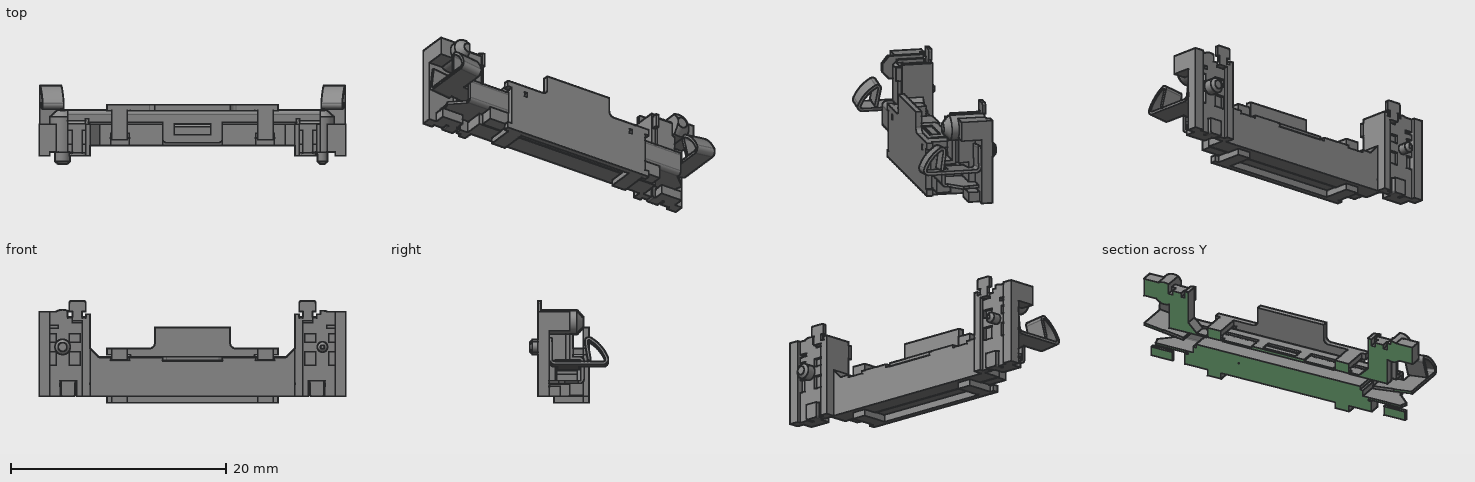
import cadquery as cq

OVERLAP = 0.05

block_inner_x = 9.5
sill_front_y = 0.94
sill_ridge_y = 2.94
sill_back_y = 4.19
sill_top = 3.57
sill_end_x = 9.9
sill_end_top = 1.12
sill_back_lift = 0.08
corner_wedge = 0.89

chamber_front_y = 1.63
chamber_bottom = 1.46
bar_half_length = 9.0
bar_front_y = 1.7
bar_back_y = 3.69
bar_shoulder_z = 2.05
bar_top = 2.4
bar_step = 0.3

shell_half_length = 11.86
shell_back_y = 4.28
shell_top = 3.69
shell_bottom = 1.2
shell_thickness = 0.34
sheet_underside = shell_top - shell_thickness
shell_bend = 0.4
shell_front_y = 1.0
shell_edge_y = 3.1
seam_depth = 0.1
lug_front_x = 13.0
lug_point_x = 13.2
lug_side_y = 1.92
lug_point_y = 2.5
lug_back_y = 3.73
tongue_half_width = 2.78
tongue_front_y = 1.23
tongue_corner = 0.35
tongue_gap = 0.09
slot_half_width = 1.71
slot_front_y = 1.98
slot_back_y = 3.0
louvre_crest_y = 2.68
louvre_drop = 0.1
louvre_fall = 0.2

plate_half_length = 7.94
plate_back_y = 4.75
plate_top = 4.45
plate_bottom = -0.6
plate_tab_top = 6.4
plate_tab_half_width = 3.5
plate_tab_fillet = 0.5
arm_thickness = 0.6
arm_inner_x = 6.04
arm_outer_x = 7.5
arm_front_y = 1.48
lip_bottom = 3.4
arm_relief = 0.27
relief_bottom = 3.4
arm_pocket_inner_x = 5.85
arm_pocket_outer_x = 7.6
arm_pocket_back_y = 2.09
arm_pocket_floor = 3.33

end_x = 14.225
wall_back_y = 1.03
wall_top = 7.87
core_top = 7.63
core_outer_x = 11.51
core_step_y = 2.59
core_step = 0.15
block_back_y = 2.94
overhang_z = 6.08
groove_inner_x = 10.24
groove_outer_x = 13.23
groove_depth = 0.35
window_depth = 0.3
outer_window_x = 12.63
inner_window_x = 10.4
inner_window_width = 1.02
window_middle_z = 4.58
window_bar = 0.92
upper_window_top = 5.8
lower_window_bottom = 2.9
vent_inner_x = 12.46
vent_bottom = 6.3
vent_height = 0.3
seat_inner_x = 9.9
seat_floor = 7.37

post_x = 12.06
post_z = 6.87
post_straight_y = 3.62
post_tip_y = 4.23
post_radius_loss = 0.66
pin_z = window_middle_z
pin_straight_y = -0.51
pin_tip_y = -0.77
pin_radius_loss = 0.3
left_post_radius = 1.17
right_post_radius = 1.09
left_pin_radius = 0.71
right_pin_radius = 0.48
left_post_flat_x = 11.59
right_post_flat_x = 11.88

head_inner_x = 9.9
head_outer_x = 11.44
neck_outer_x = 11.16
head_top = 8.86
head_bottom = 7.87
head_thickness = 0.285
head_corner = 0.2
neck_bottom = 7.0
neck_relief = 0.15
rear_leg_y = 3.27
hook_back_y = 3.46
hook_inner_x = 9.64
side_slot_front_y = 1.07
side_slot_back_y = 2.4
side_slot_depth = 0.4
side_step_depth = 0.08
rear_leg_chamfer = 0.27

notch_inner_x = 10.75
notch_outer_x = 12.28
notch_top = 1.46
tab_inner_x = 10.9
tab_outer_x = 12.19
tab_front_y = 0.1
tab_corner = 0.15
foot_outer_x = 13.44
foot_inner_x = 11.2
foot_back_y = 2.09
foot_top = 0.93

clip_outer_x = 14.18
clip_width = 1.97
clip_thickness = 0.28
clip_tilt = 7.0
clip_base_z = 3.11
clip_leg_y = 1.17
clip_leg_top = 5.33
clip_bend = 0.4
clip_tail_end = (4.77, 3.45)
clip_tail_start = (4.49, 5.1)
clip_crest_middle = (4.58, 5.33)
clip_crest = (4.84, 5.36)
clip_back_middle = (5.75, 4.6)
clip_back = (6.35, 3.63)
clip_corner_middle = (6.34, 3.27)
clip_base_end_y = 6.1
clip_tongue_front_y = 1.8
clip_tongue_back_y = 3.8
clip_tongue_length = 2.2


def box(x0, x1, y0, y1, z0, z1):
    return cq.Workplane("XY").box(x1 - x0, y1 - y0, z1 - z0, centered=False).translate((x0, y0, z0))


def both_sides(shape):
    """The shape together with its mirror image across X = 0."""
    return shape.union(shape.mirror("YZ"))


def tapered_rod(x, z, radius, tip_radius, y_root, y_straight, y_tip):
    """A round rod along Y from y_root, straight as far as y_straight and tapered to y_tip."""
    return (
        cq.Workplane("XY", origin=(x, 0, z))
        .moveTo(0, y_root)
        .lineTo(radius, y_root)
        .lineTo(radius, y_straight)
        .lineTo(tip_radius, y_tip)
        .lineTo(0, y_tip)
        .close()
        .revolve(360, (0, 0, 0), (0, 1, 0))
    )


def make_sill():
    length = block_inner_x + OVERLAP
    sill = box(-length, length, sill_front_y, sill_back_y, 0, sill_top)
    wedge = (
        cq.Workplane("XZ", origin=(0, sill_ridge_y, 0))
        .moveTo(block_inner_x, sill_top)
        .lineTo(block_inner_x - corner_wedge, sill_top)
        .lineTo(block_inner_x, sill_top + corner_wedge)
        .close()
        .extrude(sill_ridge_y - sill_front_y)
    )
    sill = sill.union(both_sides(wedge))
    arm_pocket = box(
        arm_pocket_inner_x,
        arm_pocket_outer_x,
        sill_front_y,
        arm_pocket_back_y,
        arm_pocket_floor,
        sill_top,
    )
    sill = sill.cut(both_sides(arm_pocket))
    tongue_floor = sheet_underside - tongue_gap
    tongue_pocket = box(
        -tongue_half_width, tongue_half_width, sill_front_y, sill_ridge_y, tongue_floor, sill_top
    )
    seam = box(-length, length, sill_ridge_y, sill_back_y, sill_top - seam_depth, sill_top)
    lifted_back = box(-length, length, sill_ridge_y, sill_back_y, 0, sill_back_lift)
    sill = sill.cut(tongue_pocket).cut(seam).cut(lifted_back)
    return sill.union(box(-sill_end_x, sill_end_x, sill_front_y, sill_ridge_y, 0, sill_end_top))


def make_shell():
    """C-shaped sheet open to the front, with a slotted tongue lying on the sill."""
    sheet = (
        box(-shell_half_length, shell_half_length, shell_front_y, shell_back_y, shell_bottom, shell_top)
        .edges("|X and >Y")
        .fillet(shell_bend)
    )
    hollow = (
        box(
            -shell_half_length,
            shell_half_length,
            shell_front_y,
            shell_back_y - shell_thickness,
            chamber_bottom,
            sheet_underside,
        )
        .edges("|X and >Y")
        .fillet(shell_bend - shell_thickness)
    )
    front_of_top = box(
        -shell_half_length,
        shell_half_length,
        shell_front_y,
        shell_edge_y,
        sheet_underside,
        shell_top,
    )
    sheet = sheet.cut(hollow).cut(front_of_top)
    tongue = (
        box(
            -tongue_half_width,
            tongue_half_width,
            tongue_front_y,
            shell_edge_y + OVERLAP,
            sheet_underside,
            shell_top,
        )
        .edges("|Z and <Y")
        .fillet(tongue_corner)
    )
    slot = box(
        -slot_half_width,
        slot_half_width,
        slot_front_y,
        slot_back_y,
        sheet_underside,
        shell_top,
    )
    louvre_top = shell_top - louvre_drop
    louvre = (
        cq.Workplane("YZ", origin=(-slot_half_width, 0, 0))
        .moveTo(slot_front_y, sheet_underside)
        .lineTo(slot_front_y, louvre_top)
        .lineTo(louvre_crest_y, louvre_top)
        .lineTo(slot_back_y, louvre_top - louvre_fall)
        .lineTo(slot_back_y, sheet_underside)
        .close()
        .extrude(2 * slot_half_width)
    )
    lug = (
        cq.Workplane("XY", origin=(0, 0, shell_bottom))
        .moveTo(shell_half_length - OVERLAP, shell_front_y)
        .lineTo(lug_front_x, shell_front_y)
        .lineTo(lug_front_x, lug_side_y)
        .lineTo(lug_point_x, lug_point_y)
        .lineTo(shell_half_length, lug_back_y)
        .lineTo(shell_half_length - OVERLAP, lug_back_y)
        .close()
        .extrude(chamber_bottom - shell_bottom)
    )
    return sheet.union(tongue.cut(slot).union(louvre)).union(both_sides(lug))


def make_chamber():
    return box(
        -end_x,
        end_x,
        chamber_front_y,
        shell_back_y - shell_thickness,
        chamber_bottom,
        sheet_underside,
    )


def make_bar():
    root_z = chamber_bottom - OVERLAP
    lower = box(-bar_half_length, bar_half_length, bar_front_y, bar_back_y, root_z, bar_shoulder_z)
    upper_half = bar_half_length - bar_step
    return lower.union(box(-upper_half, upper_half, bar_front_y, bar_back_y, bar_shoulder_z, bar_top))


def make_bracket():
    plate = box(
        -plate_half_length, plate_half_length, sill_back_y, plate_back_y, plate_bottom, plate_top
    )
    tab = box(
        -plate_tab_half_width, plate_tab_half_width, sill_back_y, plate_back_y, shell_top, plate_tab_top
    )
    tab_roots = cq.selectors.BoxSelector(
        (-plate_tab_half_width - OVERLAP, sill_back_y - OVERLAP, plate_top - OVERLAP),
        (plate_tab_half_width + OVERLAP, plate_back_y + OVERLAP, plate_top + OVERLAP),
    )
    plate = plate.union(tab).edges("|Y").edges(tab_roots).fillet(plate_tab_fillet)
    arm_bottom = plate_top - arm_thickness
    end_notch = box(arm_outer_x, plate_half_length, sill_back_y, plate_back_y, 0, arm_bottom)
    relief = box(
        arm_inner_x - arm_relief, arm_inner_x, sill_back_y, plate_back_y, relief_bottom, arm_bottom
    )
    plate = plate.cut(both_sides(end_notch.union(relief)))
    top_arm = box(arm_inner_x, arm_outer_x, arm_front_y, plate_back_y, arm_bottom, plate_top)
    lip = box(arm_inner_x, arm_outer_x, arm_front_y, arm_front_y + arm_thickness, lip_bottom, plate_top)
    low_arm = box(arm_inner_x, arm_outer_x, arm_front_y, plate_back_y, plate_bottom, OVERLAP)
    return plate.union(both_sides(top_arm.union(lip).union(low_arm)))


def make_contact():
    head = (
        box(head_inner_x, head_outer_x, 0, head_thickness, head_bottom, head_top)
        .edges("|Y and >Z")
        .fillet(head_corner)
    )
    neck = box(groove_inner_x, neck_outer_x, 0, groove_depth + OVERLAP, neck_bottom, seat_floor)
    stem = box(groove_inner_x, neck_outer_x, 0, head_thickness, seat_floor - OVERLAP, head_bottom + OVERLAP)
    rear_leg = (
        box(seat_inner_x, shell_half_length, block_back_y, rear_leg_y, sheet_underside, seat_floor)
        .edges("|X and >Y and >Z")
        .chamfer(rear_leg_chamfer)
    )
    hook = box(
        hook_inner_x, seat_inner_x + OVERLAP, block_back_y, hook_back_y, overhang_z, seat_floor
    )
    return head.union(neck).union(stem).union(rear_leg).union(hook)


def make_clip():
    """Bent strip drawn along its middle line, widened to the strip thickness and tilted."""
    loop = (
        cq.Workplane("YZ", origin=(clip_outer_x - clip_width, 0, 0))
        .moveTo(clip_leg_y, clip_leg_top)
        .lineTo(clip_leg_y, clip_base_z + clip_bend)
        .radiusArc((clip_leg_y + clip_bend, clip_base_z), -clip_bend)
        .lineTo(clip_base_end_y, clip_base_z)
        .threePointArc(clip_corner_middle, clip_back)
        .threePointArc(clip_back_middle, clip_crest)
        .threePointArc(clip_crest_middle, clip_tail_start)
        .lineTo(*clip_tail_end)
        .offset2D(clip_thickness / 2)
        .extrude(clip_width)
    )
    tongue = box(
        clip_outer_x - clip_width - clip_tongue_length,
        clip_outer_x - clip_width + OVERLAP,
        clip_tongue_front_y,
        clip_tongue_back_y,
        clip_base_z - clip_thickness / 2,
        clip_base_z + clip_thickness / 2,
    )
    pivot = (clip_outer_x, 0, clip_base_z)
    return loop.union(tongue).rotate(pivot, (clip_outer_x, 1, clip_base_z), -clip_tilt)


def make_block(post_radius, post_flat_x):
    """Wall, core and overhang of an end block, with the round post along its top."""
    outer_wall = box(post_x, end_x, 0, wall_back_y, 0, wall_top)
    inner_wall = box(block_inner_x, post_x, 0, wall_back_y, 0, core_top)
    overhang = box(post_x, end_x, 0, block_back_y, overhang_z, wall_top)
    core = box(block_inner_x, core_outer_x + OVERLAP, 0, block_back_y, shell_bottom, core_top)
    bridge = box(core_outer_x, post_x, 0, block_back_y, overhang_z, core_top)
    tip_radius = post_radius - post_radius_loss
    post = tapered_rod(
        post_x, post_z, post_radius, tip_radius, groove_depth, post_straight_y, post_tip_y
    )
    block = outer_wall.union(inner_wall).union(overhang).union(core).union(bridge).union(post)

    inner_side = post_flat_x - post_radius
    beyond_flat = box(inner_side, post_flat_x, 0, plate_back_y, core_top, head_top)
    behind_block = box(inner_side, post_flat_x, block_back_y, plate_back_y, 0, head_top)
    narrowed_core = box(
        core_outer_x - core_step,
        core_outer_x + OVERLAP,
        core_step_y,
        block_back_y,
        shell_bottom,
        overhang_z,
    )
    return block.cut(beyond_flat).cut(behind_block).cut(narrowed_core)


def cut_contact_seat(block, seat_outer_x):
    """Open the top of the block for the contact, with a stepped slot on each side of it."""
    block = block.cut(box(seat_inner_x, seat_outer_x, 0, plate_back_y, seat_floor, head_top))
    slot_bottom = seat_floor - side_slot_depth
    step_bottom = seat_floor - side_step_depth
    for inner, outer in ((seat_inner_x, groove_inner_x), (neck_outer_x, seat_outer_x)):
        slot = box(inner, outer, side_slot_front_y, side_slot_back_y, slot_bottom, seat_floor)
        step = box(inner, outer, 0, side_slot_front_y, step_bottom, seat_floor)
        block = block.cut(slot).cut(step)
    return block


def cut_windows(block):
    """Shallow pockets in the floor of the front groove."""
    upper_window = (window_middle_z + window_bar / 2, upper_window_top)
    lower_window = (lower_window_bottom, window_middle_z - window_bar / 2)
    inner_window_end_x = inner_window_x + inner_window_width
    for x0, x1, (z0, z1) in (
        (outer_window_x, groove_outer_x, upper_window),
        (outer_window_x, groove_outer_x, lower_window),
        (inner_window_x, inner_window_end_x, upper_window),
        (inner_window_x, inner_window_end_x, lower_window),
        (vent_inner_x, groove_outer_x, (vent_bottom, vent_bottom + vent_height)),
        (groove_inner_x, neck_outer_x, (neck_bottom - neck_relief, neck_bottom)),
    ):
        block = block.cut(box(x0, x1, groove_depth, groove_depth + window_depth, z0, z1))
    return block


def make_locking_tab():
    tab = (
        box(tab_inner_x, tab_outer_x, tab_front_y, wall_back_y + OVERLAP, 0, notch_top)
        .edges("|Y and <Z")
        .fillet(tab_corner)
    )
    foot = box(foot_inner_x, foot_outer_x, wall_back_y - OVERLAP, foot_back_y, 0, foot_top)
    return tab.union(foot)


def make_end(post_radius, post_flat_x, seat_outer_x, pin_radius):
    """Complete end block, placed on the +X side."""
    block = make_block(post_radius, post_flat_x)
    block = block.cut(box(groove_inner_x, groove_outer_x, 0, groove_depth, 0, head_top))
    block = cut_windows(cut_contact_seat(block, seat_outer_x))
    block = block.cut(box(notch_inner_x, notch_outer_x, 0, wall_back_y, 0, notch_top))
    pin_root_y = groove_depth + window_depth + OVERLAP
    tip_radius = pin_radius - pin_radius_loss
    pin = tapered_rod(post_x, pin_z, pin_radius, tip_radius, pin_root_y, pin_straight_y, pin_tip_y)
    return block.union(make_locking_tab()).union(pin)


right_end = make_end(right_post_radius, right_post_flat_x, core_outer_x, right_pin_radius)
left_end = make_end(left_post_radius, left_post_flat_x, left_post_flat_x, left_pin_radius)
plastic = make_sill().union(right_end).union(left_end.mirror("YZ"))
plastic = plastic.cut(make_chamber())
fittings = both_sides(make_contact().union(make_clip()))
result = plastic.union(make_shell()).union(make_bar()).union(make_bracket()).union(fittings)